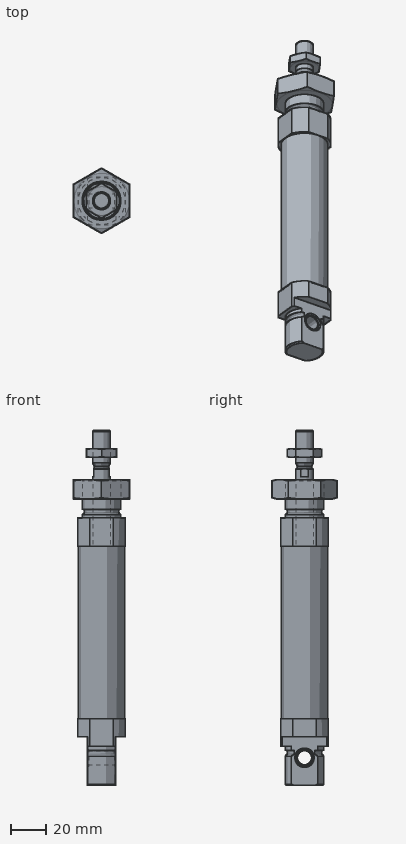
import cadquery as cq
import math

total_length = 201.5
rod_nut_bottom = 186.0
rod_nut_height = 5.0
rod_thread_bottom = 183.0
rod_shoulder_top = 180.0
rod_flat_bottom = 175.1
housing_top = 173.5
mount_nut_height = 11.0
front_groove_top = 156.5
front_groove_bottom = 154.5
front_cap_top = 151.7
front_cap_bottom = 135.6
rear_cap_top = 37.9
lug_top = 27.6
rear_cap_bottom = 22.2
rear_groove_top = 20.0
rear_groove_bottom = 17.7

rod_diameter = 10.0
rod_neck_diameter = 8.5
rod_flat_width = 9.0
rod_neck_taper = 1.8
rod_shoulder_end_diameter = 8.7
rod_shoulder_chamfer = (rod_diameter - rod_shoulder_end_diameter) / 2
rod_chamfer = (rod_diameter - rod_neck_diameter) / 2

barrel_diameter = 26.5
cap_diameter = 30.0
cap_flat_width = 27.0
thread_diameter = 22.0
thread_end_diameter = 20.4
thread_chamfer = (thread_diameter - thread_end_diameter) / 2
groove_diameter = 19.7
groove_runout = (thread_diameter - groove_diameter) / 2
groove_fillet = 0.6
lug_width = 16.1
pin_hole_diameter = 8.0
pin_hole_seat_diameter = 9.3
pin_hole_mouth_diameter = 10.9
pin_hole_chamfer = (pin_hole_mouth_diameter - pin_hole_seat_diameter) / 2
pin_hole_height = 15.7

rod_nut_flats = 17.1
rod_nut_chamfer_diameter = 16.3
mount_nut_flats = 32.0
mount_nut_chamfer_diameter = 31.5
nut_chamfer_angle = 15.0


def revolve_profile(points):
    """Solid of revolution about Z from (radius, height) points."""
    return cq.Workplane("XZ").polyline(points).close().revolve(360, (0, 0), (0, 1))


def disc(diameter, bottom, top):
    return cq.Workplane("XY").workplane(offset=bottom).circle(diameter / 2).extrude(top - bottom)


def slab(x_size, y_size, bottom, top):
    return cq.Workplane("XY").workplane(offset=bottom).rect(x_size, y_size).extrude(top - bottom)


def make_rod():
    """Threaded piston rod with a neck below the thread and two wrench flats facing X."""
    radius = rod_diameter / 2
    neck = rod_neck_diameter / 2
    shoulder_end = rod_shoulder_end_diameter / 2
    rod = revolve_profile([
        (0, front_cap_bottom),
        (radius, front_cap_bottom),
        (radius, rod_shoulder_top - rod_shoulder_chamfer),
        (shoulder_end, rod_shoulder_top),
        (neck, rod_shoulder_top),
        (neck, rod_thread_bottom - rod_neck_taper),
        (radius, rod_thread_bottom),
        (radius, total_length - rod_chamfer),
        (neck, total_length),
        (0, total_length),
    ])
    band = disc(rod_diameter, rod_flat_bottom, rod_shoulder_top)
    flats = band.cut(slab(rod_flat_width, rod_diameter, rod_flat_bottom, rod_shoulder_top))
    return rod.cut(flats)


def make_groove(bottom, top):
    """Ring to remove for a thread relief: square top, 45 degree runout below, rounded inner corners."""
    inner = groove_diameter / 2
    outer = thread_diameter / 2
    ring = revolve_profile([
        (inner, bottom),
        (outer, bottom - groove_runout),
        (outer, top),
        (inner, top),
    ])
    inner_edges = ring.edges("%CIRCLE").edges(cq.selectors.RadiusNthSelector(0))
    return inner_edges.fillet(groove_fillet)


def make_front_thread():
    """Threaded nose with a chamfered end and a thread relief above the front cap."""
    nose = disc(thread_diameter, front_cap_top, housing_top).faces(">Z").chamfer(thread_chamfer)
    return nose.cut(make_groove(front_groove_bottom, front_groove_top))


def make_rear_thread():
    """Rear spigot with a chamfered end and a relief below the rear cap."""
    spigot = disc(thread_diameter, 0, rear_cap_bottom).faces("<Z").chamfer(thread_chamfer)
    return spigot.cut(make_groove(rear_groove_bottom, rear_groove_top))


def make_cap(bottom, top):
    """Round end cap with four wrench flats."""
    return disc(cap_diameter, bottom, top).intersect(slab(cap_flat_width, cap_flat_width, bottom, top))


def make_pin_hole():
    """Cross hole through the rear lug along X, with a stepped conical seat at both mouths."""
    half_width = lug_width / 2
    straight = half_width - pin_hole_chamfer
    radius = pin_hole_diameter / 2
    seat = pin_hole_seat_diameter / 2
    mouth = pin_hole_mouth_diameter / 2
    profile = [
        (-half_width, 0),
        (-half_width, mouth),
        (-straight, seat),
        (-straight, radius),
        (straight, radius),
        (straight, seat),
        (half_width, mouth),
        (half_width, 0),
    ]
    cutter = cq.Workplane("XZ").polyline(profile).close().revolve(360, (0, 0), (1, 0))
    return cutter.translate((0, 0, pin_hole_height))


def make_housing():
    """Barrel with both end caps, the threaded nose and the rear lug, bored for the rod."""
    rear = make_cap(rear_cap_bottom, rear_cap_top).union(make_rear_thread())
    lug_space = slab(lug_width, cap_diameter, 0, lug_top)
    rear = rear.cut(slab(cap_diameter, cap_diameter, 0, lug_top).cut(lug_space))
    rear = rear.cut(make_pin_hole())
    barrel = disc(barrel_diameter, rear_cap_top, front_cap_bottom)
    housing = rear.union(barrel).union(make_cap(front_cap_bottom, front_cap_top)).union(make_front_thread())
    return housing.cut(disc(rod_diameter, front_cap_bottom, housing_top))


def make_nut(bottom, height, flats, chamfer_diameter):
    """Hexagon nut blank with flats facing X and its corners chamfered at both ends."""
    blank = cq.Workplane("XY").polygon(6, flats, circumscribed=True).extrude(height)
    inner = chamfer_diameter / 2
    outer = flats / math.sqrt(3)
    drop = (outer - inner) * math.tan(math.radians(nut_chamfer_angle))
    envelope = revolve_profile([
        (0, 0),
        (inner, 0),
        (outer, drop),
        (outer, height - drop),
        (inner, height),
        (0, height),
    ])
    return blank.intersect(envelope).translate((0, 0, bottom))


rod = make_rod()
housing = make_housing()
rod_nut = make_nut(rod_nut_bottom, rod_nut_height, rod_nut_flats, rod_nut_chamfer_diameter).cut(rod)
mount_nut_bottom = housing_top - mount_nut_height
mount_nut = make_nut(mount_nut_bottom, mount_nut_height, mount_nut_flats, mount_nut_chamfer_diameter)
mount_nut = mount_nut.cut(disc(thread_diameter, mount_nut_bottom, housing_top))

result = cq.Compound.makeCompound([housing.val(), rod.val(), rod_nut.val(), mount_nut.val()])